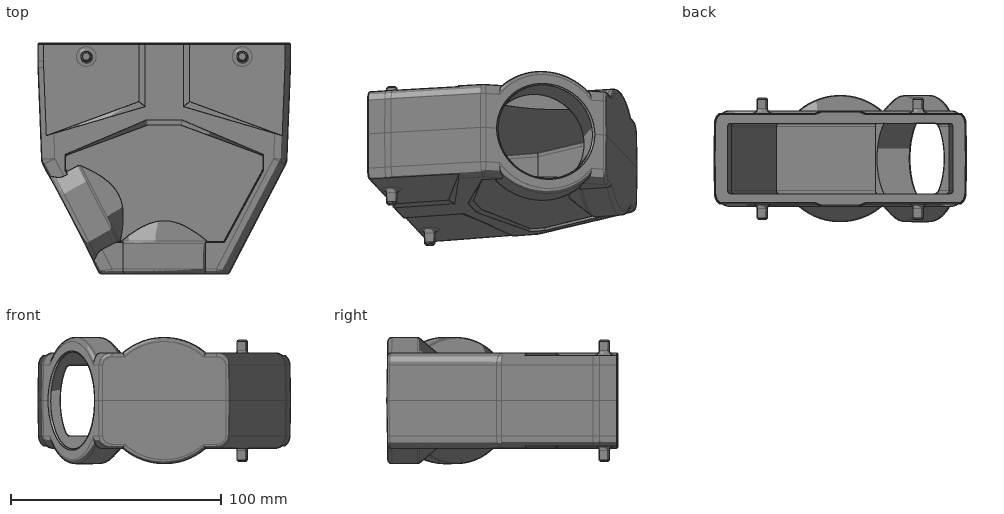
import cadquery as cq
import math


hood_half_width = 60.0
hood_length = 109.7
straight_length = 10.2
bend_half_width = 58.2
bend_y = -56.5
front_half_width = 30.6
hood_half_height = 22.7
draft_angle = 1.0
side_fillet = 6.0
bend_radius = 6.0
kink_radius = 80.0
front_fillet = 2.0
mouth_chamfer = 0.6

entry_radius = 30.0
entry_length = 15.2
entry_cone_angle = 40.0
entry_shoulder_radius = 1.6
port_center_y = -83.5
bore_radius = 23.0
bore_depth = 18.2
bore_cone_angle = 66.0
bore_chamfer = 1.0

cavity_half_height = 16.7
cavity_wall = 6.5
cavity_front_y = -97.0
cavity_fillet = 1.5

recess_depth = 1.2
recess_floor_z = hood_half_height - recess_depth

pin_x = 37.0
pin_y = -6.4
pin_radius = 2.5
pin_top_z = 28.8
pin_chamfer = 0.7
pin_foot_fillet = 2.2

overrun = 5.0
tolerance = 0.1
outside_x = hood_half_width + overrun

slope_angle = math.atan2(bend_half_width - front_half_width, hood_length + bend_y)
port_center_x = -bend_half_width + (bend_y - port_center_y) * math.tan(slope_angle)
port_inward = cq.Vector(math.cos(slope_angle), math.sin(slope_angle), 0)
port_face_center = cq.Vector(port_center_x, port_center_y, 0)
front_inward = cq.Vector(0, 1, 0)
front_face_center = cq.Vector(0, -hood_length, 0)
entries = ((front_face_center, front_inward), (port_face_center, port_inward))


def mirrored_outline(right_points):
    """Close a symmetric outline from its +X points, listed from back to front."""
    left_points = [(-x, y) for x, y in reversed(right_points)]
    return right_points + left_points


def drafted_prism(height):
    """Upper half of the hood outline; the sides and front are drafted, the mouth is square."""
    outline = mirrored_outline([
        (hood_half_width, overrun),
        (hood_half_width, -straight_length),
        (bend_half_width, bend_y),
        (front_half_width, -hood_length),
    ])
    wire = cq.Wire.makePolygon([cq.Vector(x, y, 0) for x, y in outline], close=True)
    for y, radius in ((-straight_length, kink_radius), (bend_y, bend_radius)):
        corners = [vertex for vertex in wire.Vertices() if abs(vertex.Y - y) < tolerance]
        wire = wire.fillet2D(radius, corners)
    prism = cq.Workplane("XY").add(wire).toPending().extrude(height, taper=draft_angle)
    beyond_mouth = cq.Workplane("XY").box(
        4 * hood_half_width, 4 * overrun, 4 * height, centered=(True, False, True))
    return prism.cut(beyond_mouth)


def round_profile(face_center, inward, points):
    """Revolve (depth, radius) points about an entry axis starting at its face."""
    plane = cq.Plane(origin=face_center.toTuple(), xDir=inward.toTuple(), normal=(0, 0, 1))
    return (
        cq.Workplane(plane).polyline(points).close()
        .revolve(360, (0, 0, 0), (1, 0, 0))
    )


def stepped_entry(face_center, inward, radius, depth, cone_angle):
    """Cylinder from the entry face, ending in a cone deeper inside."""
    cone_length = radius / math.tan(math.radians(cone_angle))
    return round_profile(face_center, inward, [
        (-overrun, 0), (-overrun, radius), (depth, radius), (depth + cone_length, 0),
    ])


def entry_boss(face_center, inward):
    """Solid entry boss with a rounded shoulder between cylinder and cone."""
    boss = stepped_entry(face_center, inward, entry_radius, entry_length, entry_cone_angle)
    shoulder = face_center + inward * entry_length
    circles = boss.edges("%CIRCLE").vals()
    rim = [edge for edge in circles if (edge.arcCenter() - shoulder).Length < tolerance]
    return boss.newObject(rim).fillet(entry_shoulder_radius)


def upper_half():
    """Plate with rounded side edges, joined by the two entry bosses trimmed to the drafted walls."""
    plate = drafted_prism(hood_half_height)
    plate = plate.faces(">Z").edges("not(<Y or >Y)").fillet(side_fillet)
    envelope = drafted_prism(entry_radius)
    half_space = cq.Workplane("XY").box(
        4 * hood_half_width, 4 * hood_length, hood_length, centered=(True, True, False))
    for center, inward in entries:
        entry = entry_boss(center, inward)
        plate = plate.union(entry.intersect(half_space).intersect(envelope))
    return plate.clean()


def wall_edges(body, inward, kind):
    """Edges of the outer face looking against the given inward direction, except on Z = 0."""
    walls = [
        face for face in body.faces("%PLANE").vals()
        if face.normalAt().dot(inward) < -math.cos(math.radians(2 * draft_angle))
    ]
    wall = max(walls, key=lambda face: face.Area())
    edges = [edge for edge in wall.Edges() if edge.Center().z > tolerance]
    return [edge for edge in edges if kind in ("ANY", edge.geomType())]


def round_entry_faces(body):
    """Round the rim of the whole front face and the bulging arc of the port face."""
    for inward, kind in ((front_inward, "ANY"), (port_inward, "ELLIPSE")):
        body = body.newObject(wall_edges(body, inward, kind)).fillet(front_fillet)
    return body


def recess(rim_points, floor_points):
    """Sloped-sided pocket running from the flat top down to the recess floor."""
    return (
        cq.Workplane("XY", origin=(0, 0, recess_floor_z)).polyline(floor_points).close()
        .workplane(offset=recess_depth).polyline(rim_points).close()
        .loft(ruled=True)
    )


def pin_panel_recess(side):
    """Recess around one locking pin, open to the mouth and to the outer side."""
    inner_rim_x, inner_rim_y = 9.1, -30.2
    inner_floor_x, inner_floor_y = 12.0, -27.8
    outer_x, outer_y = 55.5, -43.8

    def corners(inner_x, inner_y):
        slope = (outer_y - inner_y) / (outer_x - inner_x)
        outside_y = outer_y + slope * (outside_x - outer_x)
        points = [(inner_x, overrun), (inner_x, inner_y), (outside_x, outside_y), (outside_x, overrun)]
        return [(side * x, y) for x, y in points]

    return recess(corners(inner_rim_x, inner_rim_y), corners(inner_floor_x, inner_floor_y))


def center_panel_recess():
    """Hexagonal recess between the two entries and the pin panels."""
    rim = [(8.4, -36.5), (47.2, -53.0), (47.2, -60.2), (28.6, -94.6)]
    floor = [(8.0, -39.0), (46.8, -53.4), (46.8, -60.0), (28.3, -94.2)]
    pocket = recess(mirrored_outline(rim), mirrored_outline(floor))
    corner_radius = 1.0
    corner_start_y = rim[1][1] + overrun / 2
    side_corners = cq.selectors.BoxSelector(
        (-outside_x, corner_start_y, 0), (outside_x, -hood_length, hood_length))
    return pocket.edges(side_corners).edges("not #Z").fillet(corner_radius)


def cut_recesses(body):
    """Cut the center panel around the entry bosses, then both pin panels."""
    pocket = center_panel_recess()
    for center, inward in entries:
        pocket = pocket.cut(entry_boss(center, inward))
    body = body.cut(pocket)
    for side in (-1, 1):
        body = body.cut(pin_panel_recess(side))
    return body


def locking_pin(side):
    """Chamfered pin whose foot flares out onto the recess floor."""
    root_depth = 1.0
    root_z = recess_floor_z - root_depth
    foot_radius = pin_radius + pin_foot_fillet
    foot_top_z = recess_floor_z + pin_foot_fillet
    arc_offset = pin_foot_fillet * math.sqrt(0.5)
    pin = (
        cq.Workplane("XZ").moveTo(0, root_z)
        .lineTo(foot_radius, root_z)
        .lineTo(foot_radius, recess_floor_z)
        .threePointArc((foot_radius - arc_offset, foot_top_z - arc_offset), (pin_radius, foot_top_z))
        .lineTo(pin_radius, pin_top_z - pin_chamfer)
        .lineTo(pin_radius - pin_chamfer, pin_top_z)
        .lineTo(0, pin_top_z)
        .close().revolve(360, (0, 0, 0), (0, 1, 0))
    )
    return pin.translate((side * pin_x, pin_y, 0))


def bevel_mouth(body):
    """Chamfer the outer rim of the mouth, leaving the edge on Z = 0."""
    rim = [edge for edge in body.faces(">Y").edges().vals() if edge.Center().z > tolerance]
    return body.newObject(rim).chamfer(mouth_chamfer)


def cavity():
    """Pocket open at the mouth, one wall thickness inside the hood outline."""
    slope_shift = cavity_wall * (1 / math.cos(slope_angle) - 1)
    inner_bend_x = bend_half_width - cavity_wall
    inner_bend_y = bend_y + slope_shift
    front_x = inner_bend_x - (inner_bend_y - cavity_front_y) * math.tan(slope_angle)
    outline = mirrored_outline([
        (hood_half_width - cavity_wall, overrun),
        (hood_half_width - cavity_wall, -straight_length),
        (inner_bend_x, inner_bend_y),
        (front_x, cavity_front_y),
    ])
    pocket = (
        cq.Workplane("XY", origin=(0, 0, -cavity_half_height))
        .polyline(outline).close().extrude(2 * cavity_half_height)
        .edges("|X or |Y or #Z").fillet(cavity_fillet)
    )
    return pocket.cut(bore_backing())


def bore_backing():
    """Solid left in the cavity so that the bore keeps its front-side wall to full depth."""
    inside_bore = bore_radius / 2
    plane = cq.Plane(
        origin=port_face_center.toTuple(), xDir=port_inward.toTuple(), normal=(0, 0, 1))
    return (
        cq.Workplane(plane).center(bore_depth / 2, -inside_bore - bore_radius / 2)
        .box(bore_depth, bore_radius, 2 * hood_half_height)
    )


def port_bore():
    """Chamfered bore with a conical bottom."""
    bore = stepped_entry(port_face_center, port_inward, bore_radius, bore_depth, bore_cone_angle)
    rim_chamfer = round_profile(port_face_center, port_inward, [
        (-bore_chamfer, 0),
        (-bore_chamfer, bore_radius + 2 * bore_chamfer),
        (bore_chamfer, bore_radius),
        (bore_chamfer, 0),
    ])
    return bore.union(rim_chamfer)


half = bevel_mouth(cut_recesses(round_entry_faces(upper_half())))
for pin_side in (-1, 1):
    half = half.union(locking_pin(pin_side))
hood = half.union(half.mirror("XY"))
result = hood.cut(cavity()).cut(port_bore())